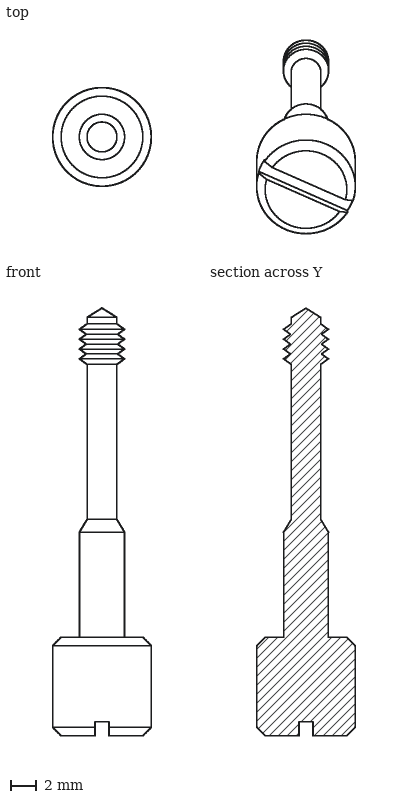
import cadquery as cq

total_length = 33.02
head_diameter = 7.63
head_height = 7.63
head_chamfer = 0.65
slot_width = 1.05
slot_depth = 1.1

shank_diameter = 3.5
shank_top = 15.72
taper_height = 1.0
core_diameter = 2.3
tip_height = 0.73

ridge_count = 4
ridge_pitch = 0.75
ridge_half_width = 0.43
top_crest_depth = 1.65

head_radius = head_diameter / 2
shank_radius = shank_diameter / 2
core_radius = core_diameter / 2


def revolve_profile(points):
    """Revolve a closed (radius, height) outline about the Z axis."""
    return cq.Workplane("XZ").polyline(points).close().revolve(360, (0, 0), (0, 1))


def make_head():
    head = cq.Workplane("XY").circle(head_radius).extrude(head_height)
    head = head.faces("<Z or >Z").edges().chamfer(head_chamfer)
    slot = cq.Workplane("XY").box(
        slot_width, head_diameter, slot_depth, centered=(True, True, False)
    )
    return head.cut(slot)


def make_shank():
    return revolve_profile([
        (0, head_height),
        (shank_radius, head_height),
        (shank_radius, shank_top),
        (core_radius, shank_top + taper_height),
        (core_radius, total_length - tip_height),
        (0, total_length),
    ])


def make_ridge(crest_height):
    return revolve_profile([
        (0, crest_height - ridge_half_width),
        (core_radius, crest_height - ridge_half_width),
        (shank_radius, crest_height),
        (core_radius, crest_height + ridge_half_width),
        (0, crest_height + ridge_half_width),
    ])


result = make_head().union(make_shank())
for index in range(ridge_count):
    result = result.union(make_ridge(total_length - top_crest_depth - index * ridge_pitch))